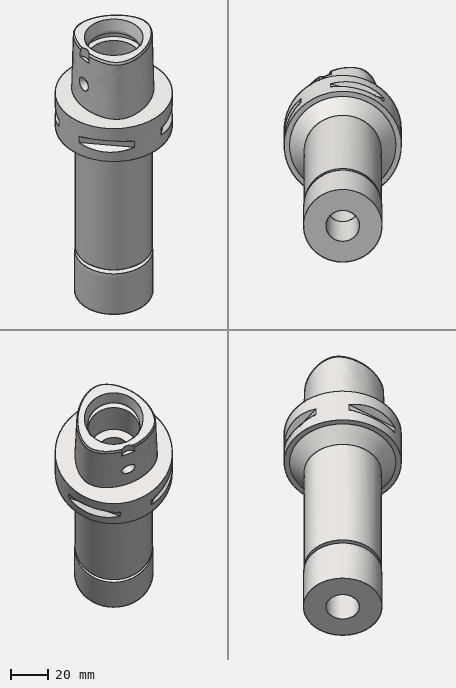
import cadquery as cq
import math

total_height = 173.0
nut_height = 27.7
neck_height = 2.6
flange_top = 135.3
flange_height = 22.5
flange_bottom = flange_top - flange_height

flange_diameter = 63.0
cone_diameter = 57.1
shank_diameter = 41.5
neck_diameter = 35.3
nut_diameter = 42.2
nut_relief_height = 2.5
nut_relief = 0.2
cone_height = (cone_diameter - shank_diameter) / 2

lobe_radius = 22.1
lobe_eccentricity = 1.4
taper_per_side = 1 / 40
rim_chamfer_height = 1.4
rim_chamfer_width = 0.7

through_diameter = 18.0
mouth_diameter = 31.5
socket_diameter = 28.0
mouth_depth = 6.7
groove_start_depth = 8.1
groove_end_depth = 13.3
groove_diameter = 35.0
socket_depth = total_height - flange_top

keyway_radius = 5.2
keyway_inner_y = -18.0
keyway_depth = 5.9
dimple_diameter = 8.0
dimple_depth = 22.3
dimple_floor_y = -15.5

slot_count = 4
slot_first_angle = 45
slot_floor_distance = 27.7
slot_floor_height = 4.0
slot_mouth_height = 8.0
slot_height_on_axis = 123.0


def cylinder(diameter, bottom, top):
    return cq.Workplane("XY").workplane(offset=bottom).circle(diameter / 2).extrude(top - bottom)


def frustum(bottom_diameter, top_diameter, bottom, top):
    return (
        cq.Workplane("XY").workplane(offset=bottom).circle(bottom_diameter / 2)
        .workplane(offset=top - bottom).circle(top_diameter / 2)
        .loft(ruled=True)
    )


def lobed_section(radius, height):
    """Constant-width curve with three lobes, one of them pointing to +Y."""
    def point(turn):
        angle = 2 * math.pi * turn
        lobe_phase = 3 * (angle - math.pi / 2)
        reach = radius + lobe_eccentricity * math.cos(lobe_phase)
        slope = -3 * lobe_eccentricity * math.sin(lobe_phase)
        x = reach * math.cos(angle) - slope * math.sin(angle)
        y = reach * math.sin(angle) + slope * math.cos(angle)
        return cq.Vector(x, y, height)

    curve_segments = 72
    section_points = [point(i / curve_segments) for i in range(curve_segments)]
    return cq.Wire.assembleEdges([cq.Edge.makeSpline(section_points, periodic=True)])


def lobed_frustum(bottom_radius, top_radius, bottom, top):
    sections = [lobed_section(bottom_radius, bottom), lobed_section(top_radius, top)]
    return cq.Workplane(cq.Solid.makeLoft(sections, ruled=True))


def make_tapered_shank():
    chamfer_start = total_height - rim_chamfer_height
    edge_radius = lobe_radius - (chamfer_start - flange_top) * taper_per_side
    taper = lobed_frustum(lobe_radius, edge_radius, flange_top, chamfer_start)
    rim = lobed_frustum(edge_radius, edge_radius - rim_chamfer_width, chamfer_start, total_height)
    return taper.union(rim)


def make_bore():
    """Conical mouth, socket with an internal groove, and the through hole."""
    mouth_bottom = total_height - mouth_depth
    mouth = frustum(socket_diameter, mouth_diameter, mouth_bottom, total_height)
    socket = cylinder(socket_diameter, total_height - socket_depth, mouth_bottom)
    groove = cylinder(
        groove_diameter, total_height - groove_end_depth, total_height - groove_start_depth
    )
    through = cylinder(through_diameter, 0, total_height)
    return through.union(socket).union(groove).union(mouth)


def make_keyway():
    return cylinder(2 * keyway_radius, total_height - keyway_depth, total_height).translate(
        (0, keyway_inner_y - keyway_radius, 0)
    )


def make_dimple():
    return (
        cq.Workplane("XZ", origin=(0, dimple_floor_y, total_height - dimple_depth))
        .circle(dimple_diameter / 2)
        .extrude(lobe_radius)
    )


def make_gripper_slot(angle):
    """Slot across the flange rim with a flat floor and flared sides."""
    rim_radius = flange_diameter / 2
    flare = (slot_mouth_height - slot_floor_height) / 2
    flare_slope = flare / (rim_radius - slot_floor_distance)
    outer_distance = rim_radius + 1.7
    outer_half = slot_floor_height / 2 + flare_slope * (outer_distance - slot_floor_distance)
    return (
        cq.Workplane("XZ", origin=(0, 0, slot_height_on_axis))
        .moveTo(slot_floor_distance, -slot_floor_height / 2)
        .lineTo(outer_distance, -outer_half)
        .lineTo(outer_distance, outer_half)
        .lineTo(slot_floor_distance, slot_floor_height / 2)
        .close()
        .extrude(rim_radius, both=True)
        .rotate((0, 0, 0), (0, 0, 1), angle)
    )


def make_holder():
    neck_top = nut_height + neck_height
    cone_bottom = flange_bottom - cone_height
    holder = cylinder(neck_diameter, nut_height, neck_top)
    holder = holder.union(cylinder(shank_diameter, neck_top, cone_bottom))
    holder = holder.union(frustum(shank_diameter, cone_diameter, cone_bottom, flange_bottom))
    holder = holder.union(cylinder(flange_diameter, flange_bottom, flange_top))
    holder = holder.union(make_tapered_shank())
    holder = holder.cut(make_bore()).cut(make_keyway()).cut(make_dimple())
    for i in range(slot_count):
        holder = holder.cut(make_gripper_slot(slot_first_angle + i * 360 / slot_count))
    return holder


def make_clamping_nut():
    relief_start = nut_height - nut_relief_height
    nut = cylinder(nut_diameter, 0, relief_start)
    nut = nut.union(frustum(nut_diameter, nut_diameter - 2 * nut_relief, relief_start, nut_height))
    return nut.cut(cylinder(through_diameter, 0, nut_height))


holder = make_holder()
clamping_nut = make_clamping_nut()

result = cq.Compound.makeCompound([holder.val(), clamping_nut.val()])